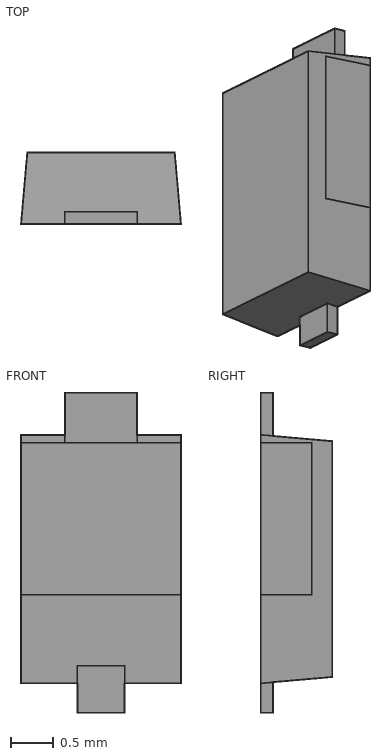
import cadquery as cq
import math

total_length = 3.8
total_width = 1.9
total_depth = 0.85
draft_angle = 5.0

upper_lead_reach = 0.5
lower_lead_reach = 0.35
housing_bottom = lower_lead_reach
housing_top = total_length - upper_lead_reach
housing_length = housing_top - housing_bottom

band_depth = 0.608
band_length = 1.8
band_top = total_length - 0.595
band_bottom = band_top - band_length

lead_thickness = 0.15
upper_lead_width = 0.86
upper_lead_length = total_length - band_top
lower_lead_width = 0.562
lower_lead_length = 0.56


def front_box(width, depth, z_bottom, length):
    """Box centred on X, reaching back from the front plane Y = 0 and up from the given height."""
    return cq.Workplane("XY").box(width, depth, length, centered=(True, False, False)).translate(
        (0, 0, z_bottom)
    )


def make_drafted_block():
    """Block from the front plane Y = 0 to the back, narrowing on all four sides."""
    inset = total_depth * math.tan(math.radians(draft_angle))
    middle_z = (housing_bottom + housing_top) / 2
    return (
        cq.Workplane("XZ", origin=(0, 0, middle_z))
        .rect(total_width, housing_length)
        .workplane(offset=-total_depth)
        .rect(total_width - 2 * inset, housing_length - 2 * inset)
        .loft(ruled=True)
    )


def make_lead(width, z_bottom, length):
    """Flat lead strip, let into the housing front at one end."""
    return front_box(width, lead_thickness, z_bottom, length)


def make_band():
    """Drafted block slice that wraps the front and both sides of the housing."""
    band_zone = front_box(total_width, band_depth, band_bottom, band_length)
    return make_drafted_block().intersect(band_zone).solids()


def make_housing(inserts):
    """Drafted housing, recessed for its inserts."""
    housing = make_drafted_block()
    for insert in inserts:
        housing = housing.cut(insert)
    return housing.solids()


upper_lead = make_lead(upper_lead_width, band_top, upper_lead_length)
lower_lead = make_lead(lower_lead_width, 0, lower_lead_length)
band = make_band()
housing = make_housing([upper_lead, lower_lead, band])

result = cq.Compound.makeCompound([housing.val(), band.val(), upper_lead.val(), lower_lead.val()])